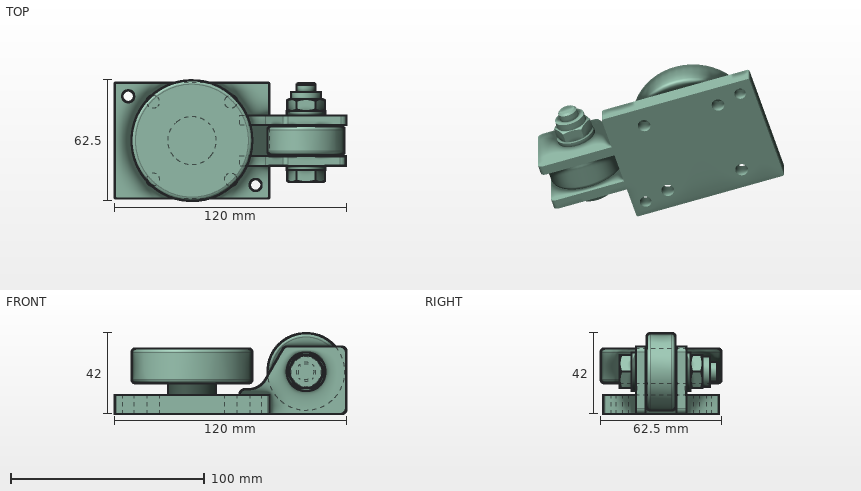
import cadquery as cq
import math

plate_length = 80.0
plate_width = 60
plate_thickness = 10.0
plate_corner_radius = 1.0
corner_hole_diameter = 6
corner_hole_inset = 7.1
inner_hole_diameter = 6.6
inner_hole_offset = 20.0

post_diameter = 25.0
post_height = 6
roller_diameter = 62.5
roller_thickness = 18
roller_edge_radius = 2.0

wheel_diameter = 40.0
wheel_width = 15.0
wheel_edge_radius = 2.0
axle_x = 99.0
axle_z = 22.0

bracket_gap = 16.1
bracket_thickness = 5.0
bracket_height = 35.0
bracket_corner_radius = 3.0
bracket_toe_x = 64.5
bracket_toe_height = 13.0
bracket_shoulder_x = 87.8
bracket_slope_angle = 60
bracket_slope_radius = 10.0
front_bracket_end_x = 119.6
rear_bracket_end_x = 120

bolt_diameter = 10.0
bolt_end_y = 29.8
bolt_end_chamfer = 1.0
washer_diameter = 20.0
washer_thickness = 2.2
hex_across_flats = 17.0
hex_height = 6.2
hex_bevel_angle = 30
nut_collar_diameter = 15.6
nut_collar_length = 3.7

roller_x = plate_length / 2
roller_bottom = plate_thickness + post_height
bracket_outer_y = bracket_gap / 2 + bracket_thickness
hex_start_y = bracket_outer_y + washer_thickness
hex_end_y = hex_start_y + hex_height


def axle_cylinder(diameter, y_start, y_end):
    """Cylinder on the wheel axle between two Y positions."""
    return (
        cq.Workplane("XZ", origin=(axle_x, y_start, axle_z))
        .circle(diameter / 2)
        .extrude(y_start - y_end)
    )


def axle_hexagon(y_start, y_end, bevel_start, bevel_end):
    """Hexagon on the axle, its corners bevelled by a cone at the chosen ends."""
    corner_radius = hex_across_flats / math.sqrt(3)
    flat_radius = hex_across_flats / 2
    bevel = (corner_radius - flat_radius) * math.tan(math.radians(hex_bevel_angle))
    start_bevel = bevel if bevel_start else 0
    end_bevel = bevel if bevel_end else 0
    start_radius = flat_radius if bevel_start else corner_radius
    end_radius = flat_radius if bevel_end else corner_radius
    hexagon = (
        cq.Workplane("XZ", origin=(axle_x, y_start, axle_z))
        .polygon(6, 2 * corner_radius)
        .extrude(y_start - y_end)
    )
    outline = cq.Workplane("XY", origin=(axle_x, 0, axle_z)).moveTo(0, y_start).lineTo(start_radius, y_start)
    if bevel_start:
        outline = outline.lineTo(corner_radius, y_start + start_bevel)
    outline = outline.lineTo(corner_radius, y_end - end_bevel)
    if bevel_end:
        outline = outline.lineTo(end_radius, y_end)
    envelope = outline.lineTo(0, y_end).close().revolve(360, (0, 0), (0, 1))
    return hexagon.intersect(envelope)


def make_plate():
    """Base plate with two corner holes and four holes around the post."""
    plate = (
        cq.Workplane("XY")
        .box(plate_length, plate_width, plate_thickness, centered=(False, True, False))
        .edges("|Z")
        .fillet(plate_corner_radius)
    )
    hole_y = plate_width / 2 - corner_hole_inset
    corner_holes = (
        cq.Workplane("XY")
        .pushPoints([(corner_hole_inset, hole_y), (plate_length - corner_hole_inset, -hole_y)])
        .circle(corner_hole_diameter / 2)
        .extrude(plate_thickness)
    )
    inner_holes = (
        cq.Workplane("XY", origin=(roller_x, 0, 0))
        .rect(2 * inner_hole_offset, 2 * inner_hole_offset, forConstruction=True)
        .vertices()
        .circle(inner_hole_diameter / 2)
        .extrude(plate_thickness)
    )
    return plate.cut(corner_holes).cut(inner_holes)


def make_roller():
    """Large roller with rounded rims, standing on its post."""
    post = (
        cq.Workplane("XY", origin=(roller_x, 0, plate_thickness))
        .circle(post_diameter / 2)
        .extrude(post_height)
    )
    roller = (
        cq.Workplane("XY", origin=(roller_x, 0, roller_bottom))
        .circle(roller_diameter / 2)
        .extrude(roller_thickness)
        .edges()
        .fillet(roller_edge_radius)
    )
    return post.union(roller)


def make_bracket(y_start, end_x):
    """Bracket plate with a low toe sweeping up to a tall, rounded end."""
    toe_end_x = bracket_toe_x + bracket_corner_radius
    toe_side_z = bracket_toe_height - bracket_corner_radius
    toe_mid = bracket_corner_radius * math.sqrt(0.5)
    slope_run = (bracket_height - bracket_toe_height) / math.tan(math.radians(bracket_slope_angle))
    slope_start_x = bracket_shoulder_x - slope_run
    bracket = (
        cq.Workplane("XZ", origin=(0, y_start, 0))
        .moveTo(bracket_toe_x, 0)
        .lineTo(bracket_toe_x, toe_side_z)
        .threePointArc((toe_end_x - toe_mid, toe_side_z + toe_mid), (toe_end_x, bracket_toe_height))
        .lineTo(slope_start_x, bracket_toe_height)
        .lineTo(bracket_shoulder_x, bracket_height)
        .lineTo(end_x, bracket_height)
        .lineTo(end_x, 0)
        .close()
        .extrude(-bracket_thickness)
    )
    bracket = bracket.edges("|Y and >X").fillet(bracket_corner_radius)
    mid_y = y_start + bracket_thickness / 2
    shoulder = cq.selectors.NearestToPointSelector((bracket_shoulder_x, mid_y, bracket_height))
    bracket = bracket.edges(shoulder).fillet(bracket_corner_radius)
    slope_foot = cq.selectors.NearestToPointSelector((slope_start_x, mid_y, bracket_toe_height))
    return bracket.edges(slope_foot).fillet(bracket_slope_radius)


def make_wheel():
    """Small wheel with rounded rims, centred between the brackets."""
    wheel = axle_cylinder(wheel_diameter, -wheel_width / 2, wheel_width / 2)
    return wheel.edges().fillet(wheel_edge_radius)


def make_bolt():
    """Hex bolt through the brackets with two washers and a collared locknut."""
    shank = axle_cylinder(bolt_diameter, -hex_start_y, bolt_end_y)
    shank = shank.faces(">Y").chamfer(bolt_end_chamfer)
    head_washer = axle_cylinder(washer_diameter, -hex_start_y, -bracket_outer_y)
    nut_washer = axle_cylinder(washer_diameter, bracket_outer_y, hex_start_y)
    head = axle_hexagon(-hex_end_y, -hex_start_y, bevel_start=True, bevel_end=False)
    nut = axle_hexagon(hex_start_y, hex_end_y, bevel_start=True, bevel_end=True)
    collar = axle_cylinder(nut_collar_diameter, hex_end_y, hex_end_y + nut_collar_length)
    return shank.union(head_washer).union(nut_washer).union(head).union(nut).union(collar)


result = (
    make_plate()
    .union(make_roller())
    .union(make_bracket(-bracket_outer_y, front_bracket_end_x))
    .union(make_bracket(bracket_gap / 2, rear_bracket_end_x))
    .union(make_wheel())
    .union(make_bolt())
)